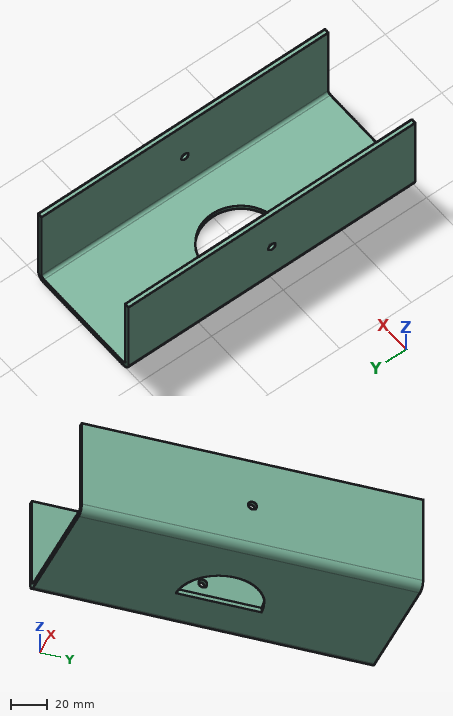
import cadquery as cq

width = 80.0
length = 200.0
height = 60.0

thickness = 3.0
inner_bend_radius = 2.0
outer_bend_radius = inner_bend_radius + thickness

wall_hole_diameter = 5.0
wall_hole_height = height / 2
cutout_radius = 25.0
cutout_flat_x = -cutout_radius / 2


def bottom_rounded_block(block_width, bottom_z, bend_radius):
    """Full-length block up to the channel top, with its two lower long edges rounded."""
    block_height = height - bottom_z
    block = cq.Workplane("XY").box(block_width, length, block_height, centered=(True, True, False))
    return block.edges("|Y and <Z").fillet(bend_radius).translate((0, 0, bottom_z))


def channel():
    """U-shaped channel, open at the top and at both ends."""
    outside = bottom_rounded_block(width, 0, outer_bend_radius)
    inside = bottom_rounded_block(width - 2 * thickness, thickness, inner_bend_radius)
    return outside.cut(inside)


def wall_holes():
    """One cylinder along X that pierces both side walls."""
    return (
        cq.Workplane("YZ")
        .center(0, wall_hole_height)
        .circle(wall_hole_diameter / 2)
        .extrude(width / 2, both=True)
    )


def floor_cutout():
    """Half disc through the floor, flat side facing -X."""
    return (
        cq.Workplane("XY")
        .moveTo(cutout_flat_x, -cutout_radius)
        .threePointArc((cutout_flat_x + cutout_radius, 0), (cutout_flat_x, cutout_radius))
        .close()
        .extrude(thickness)
    )


result = channel().cut(wall_holes()).cut(floor_cutout())